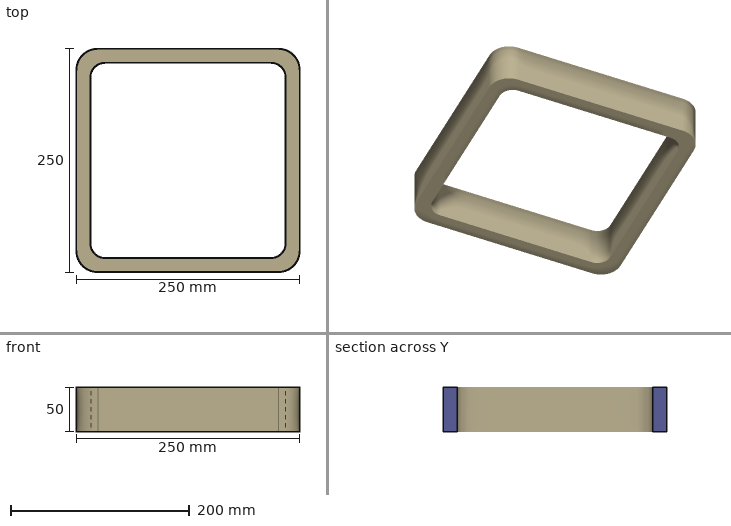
import cadquery as cq

side = 250.0
length = 50.0
wall = 16.0
outer_radius = 1.5 * wall
inner_radius = 1.0 * wall


def rounded_square_prism(width, corner_radius):
    """Square prism centred on the Z axis with rounded vertical edges."""
    return (
        cq.Workplane("XY")
        .rect(width, width)
        .extrude(length)
        .edges("|Z")
        .fillet(corner_radius)
    )


outer = rounded_square_prism(side, outer_radius)
bore = rounded_square_prism(side - 2 * wall, inner_radius)

result = outer.cut(bore)